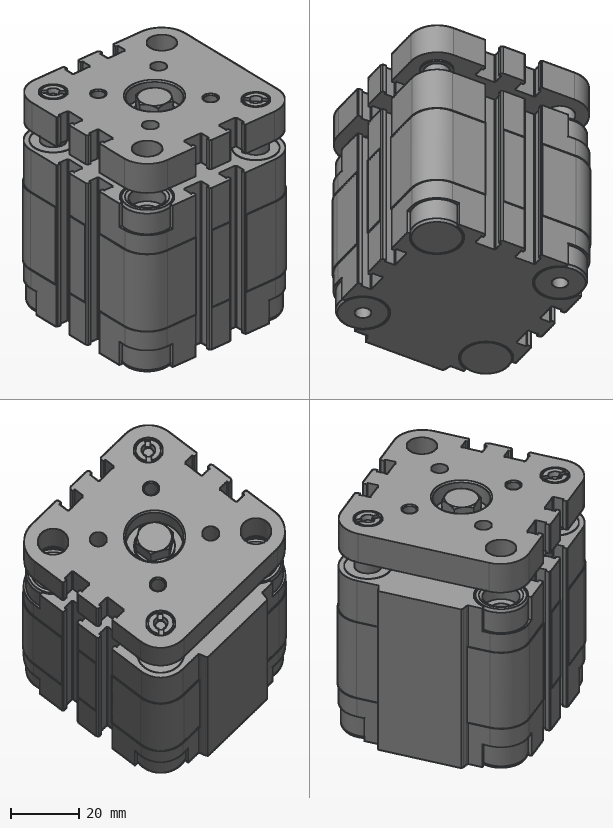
import cadquery as cq
import math

TOTAL_HEIGHT = 72.0
HOUSING_HEIGHT = 55.5
PLATE_THICKNESS = 10.0
PLATE_BOTTOM = TOTAL_HEIGHT - PLATE_THICKNESS

CAP_HALF = 59.4 / 2
BAND_HALF = 60.0 / 2
BAND_BOTTOM = 14.55
BAND_TOP = 41.1
PLATE_CORNER_RADIUS = 9.0
CORNER_OFFSET = 21.0

GROOVE_DEPTH = 5.0
LIP_DEPTH = 1.5
MOUTH_INNER = 4.2
MOUTH_OUTER = 9.4
POCKET_INNER = 3.4
POCKET_OUTER = 10.15
LIP_BEVEL_INNER = 0.65
LIP_BEVEL_OUTER = 0.3
LIP_BEVEL_DEPTH = 0.35
POCKET_BEVEL = 0.3
GROOVE_OVERRUN = 1.45

RAIL_FACE = BAND_HALF + 2.5
RAIL_SHOULDER = 31.9
RAIL_FOOT = 30.3
RAIL_BASE_HALF = 14.1
RAIL_FOOT_HALF = 13.8
RAIL_SHOULDER_HALF = 13.5
RAIL_FACE_HALF = 13.1

SCREW_DIAMETER = 16.0
SCREW_HEIGHT = 8.0
SCREW_BEVEL = 0.5
SCREW_BEVEL_HEIGHT = 0.9
NOTCH_SETBACK = 2.4
SCREW_BORE_DIAMETER = 11.0
SCREW_MOUTH_DIAMETER = 13.0
SCREW_MOUTH_DEPTH = 0.5
SCREW_BORE_DEPTH = 5.0
FUNNEL_DIAMETER = 6.5
FUNNEL_DEPTH = 3.0
THROUGH_DIAMETER = 4.9

GUIDE_DIAMETER = 8.0
BUSHING_DIAMETER = 14.0
BUSHING_RECESS = 0.15
COLLAR_DIAMETER = 10.0
COLLAR_HEIGHT = 0.65
PISTON_ROD_DIAMETER = 12.0
ROD_ENGAGEMENT = 20.0
ROD_BOTTOM = HOUSING_HEIGHT - ROD_ENGAGEMENT
WRENCH_WIDTH = 10.0
WRENCH_LENGTH = 4.6

RECESS_DIAMETER = 17.0
RECESS_BEVEL = 0.5
RECESS_DEPTH = 6.0
HEX_BELOW_TOP = 0.35
HEX_SHOULDER_HEIGHT = 1.0
HEX_TIP_DIAMETER = 10.1
HEX_BEVEL_HEIGHT = 0.7

CLEARANCE_DIAMETER = 9.0
SMALL_HOLE_OFFSET = 11.7
PIN_HOLE_DIAMETER = 5.0
THREAD_DIAMETER = 4.1
THREAD_MOUTH_DIAMETER = 4.9

ROD_END_GAP_DIAMETER = 8.6
ROD_END_DIAMETER = 7.4
ROD_END_GAP_DEPTH = 1.2
ROD_END_SLOT_WIDTH = 1.5
ROD_END_SLOT_DEPTH = 1.0
ROD_END_SOCKET_MOUTH = 4.1
ROD_END_SOCKET_DIAMETER = 3.1
ROD_END_SOCKET_DEPTH = 1.5

GUIDE_CORNERS = [(-CORNER_OFFSET, -CORNER_OFFSET), (CORNER_OFFSET, CORNER_OFFSET)]
SCREW_CORNERS = [(-CORNER_OFFSET, CORNER_OFFSET), (CORNER_OFFSET, -CORNER_OFFSET)]


def cylinder(center, diameter, bottom, top):
    return cq.Workplane("XY", origin=(*center, bottom)).circle(diameter / 2).extrude(top - bottom)


def cone(center, bottom_diameter, top_diameter, bottom, top):
    shape = cq.Solid.makeCone(bottom_diameter / 2, top_diameter / 2, top - bottom)
    return cq.Workplane(shape.translate(cq.Vector(*center, bottom)))


def rounded_block(half, radius, bottom, top):
    block = cq.Workplane("XY", origin=(0, 0, bottom)).rect(2 * half, 2 * half).extrude(top - bottom)
    return block.edges("|Z").fillet(radius)


def groove_cutters():
    """Pairs of full-height grooves for the -Y, -X and +X sides."""
    face = -CAP_HALF
    outside = face - GROOVE_OVERRUN
    lip = face + LIP_DEPTH
    floor = face + GROOVE_DEPTH
    outline = [
        (MOUTH_INNER - LIP_BEVEL_INNER, outside),
        (MOUTH_INNER - LIP_BEVEL_INNER, face),
        (MOUTH_INNER, face + LIP_BEVEL_DEPTH),
        (MOUTH_INNER, lip),
        (POCKET_INNER, lip),
        (POCKET_INNER, floor - POCKET_BEVEL),
        (POCKET_INNER + POCKET_BEVEL, floor),
        (POCKET_OUTER - POCKET_BEVEL, floor),
        (POCKET_OUTER, floor - POCKET_BEVEL),
        (POCKET_OUTER, lip),
        (MOUTH_OUTER, lip),
        (MOUTH_OUTER, face + LIP_BEVEL_DEPTH),
        (MOUTH_OUTER + LIP_BEVEL_OUTER, face),
        (MOUTH_OUTER + LIP_BEVEL_OUTER, outside),
    ]
    groove = cq.Workplane("XY").polyline(outline).close().extrude(TOTAL_HEIGHT)
    pair = groove.add(groove.mirror("YZ")).combine()
    cutters = pair
    for angle in (-90, 90):
        cutters = cutters.add(pair.rotate((0, 0, 0), (0, 0, 1), angle))
    return cutters.combine()


def rail():
    half_outline = [
        (RAIL_BASE_HALF, CAP_HALF),
        (RAIL_FOOT_HALF, RAIL_FOOT),
        (RAIL_SHOULDER_HALF, RAIL_SHOULDER),
        (RAIL_FACE_HALF, RAIL_FACE),
    ]
    outline = half_outline + [(-x, y) for x, y in reversed(half_outline)]
    base = [(-RAIL_BASE_HALF, CORNER_OFFSET), (RAIL_BASE_HALF, CORNER_OFFSET)]
    return cq.Workplane("XY").polyline(outline + base).close().extrude(HOUSING_HEIGHT)


def screw_notch():
    """Material to cut at a +X +Y bottom corner so that a bevelled round screw stays standing."""
    center = (CORNER_OFFSET, CORNER_OFFSET)
    start = CORNER_OFFSET - NOTCH_SETBACK
    size = CAP_HALF + GROOVE_OVERRUN - start
    corner = cq.Workplane("XY").box(size, size, SCREW_HEIGHT, centered=False).translate((start, start, 0))
    corner = corner.cut(cylinder(center, SCREW_DIAMETER, 0, SCREW_HEIGHT))
    end_diameter = SCREW_DIAMETER - 2 * SCREW_BEVEL
    ring = cylinder(center, SCREW_DIAMETER, 0, SCREW_BEVEL_HEIGHT)
    ring = ring.cut(cone(center, end_diameter, SCREW_DIAMETER, 0, SCREW_BEVEL_HEIGHT))
    return corner.union(ring)


def screw_hole(center):
    """Bevelled bore in the top of a corner screw, with a funnel into a through hole."""
    mouth_bottom = HOUSING_HEIGHT - SCREW_MOUTH_DEPTH
    floor = HOUSING_HEIGHT - SCREW_BORE_DEPTH
    hole = cone(center, SCREW_BORE_DIAMETER, SCREW_MOUTH_DIAMETER, mouth_bottom, HOUSING_HEIGHT)
    hole = hole.union(cylinder(center, SCREW_BORE_DIAMETER, floor, mouth_bottom))
    hole = hole.union(cone(center, THROUGH_DIAMETER, FUNNEL_DIAMETER, floor - FUNNEL_DEPTH, floor))
    return hole.union(cylinder(center, THROUGH_DIAMETER, 0, floor - FUNNEL_DEPTH))


def make_housing():
    body = rounded_block(CAP_HALF, CAP_HALF - CORNER_OFFSET, 0, HOUSING_HEIGHT)
    body = body.union(rounded_block(BAND_HALF, BAND_HALF - CORNER_OFFSET, BAND_BOTTOM, BAND_TOP))
    body = body.union(rail()).cut(groove_cutters())

    notch = screw_notch()
    for angle in (0, 90, 180, 270):
        body = body.cut(notch.rotate((0, 0, 0), (0, 0, 1), angle))
    top_notch = notch.mirror("XY").translate((0, 0, HOUSING_HEIGHT))
    for angle in (90, -90):
        body = body.cut(top_notch.rotate((0, 0, 0), (0, 0, 1), angle))

    for center in SCREW_CORNERS:
        body = body.cut(screw_hole(center))
    for center in GUIDE_CORNERS:
        body = body.cut(cylinder(center, GUIDE_DIAMETER, ROD_BOTTOM, HOUSING_HEIGHT))
        body = body.cut(cylinder(center, BUSHING_DIAMETER, HOUSING_HEIGHT - BUSHING_RECESS, HOUSING_HEIGHT))
    return body.cut(cylinder((0, 0), PISTON_ROD_DIAMETER, ROD_BOTTOM, HOUSING_HEIGHT))


def piston_rod():
    """Round rod with two wrench flats facing -Y and +Y just below the plate."""
    rod = cylinder((0, 0), PISTON_ROD_DIAMETER, ROD_BOTTOM, PLATE_BOTTOM)
    flat_zone = cylinder((0, 0), PISTON_ROD_DIAMETER, PLATE_BOTTOM - WRENCH_LENGTH, PLATE_BOTTOM)
    kept = cq.Workplane("XY").box(PISTON_ROD_DIAMETER, WRENCH_WIDTH, 2 * TOTAL_HEIGHT)
    return rod.cut(flat_zone.cut(kept))


def center_hexagon():
    """Bevelled hexagon on a round shoulder, standing on the recess floor."""
    floor = TOTAL_HEIGHT - RECESS_DEPTH
    tip = TOTAL_HEIGHT - HEX_BELOW_TOP
    across_corners = WRENCH_WIDTH / math.cos(math.pi / 6)
    hexagon = cq.Workplane("XY", origin=(0, 0, floor)).polygon(6, across_corners).extrude(tip - floor)
    hexagon = hexagon.rotate((0, 0, 0), (0, 0, 1), 30)
    bevel_bottom = tip - HEX_BEVEL_HEIGHT
    envelope = cylinder((0, 0), PISTON_ROD_DIAMETER, floor, bevel_bottom)
    envelope = envelope.union(cone((0, 0), PISTON_ROD_DIAMETER, HEX_TIP_DIAMETER, bevel_bottom, tip))
    shoulder = cylinder((0, 0), PISTON_ROD_DIAMETER, floor, floor + HEX_SHOULDER_HEIGHT)
    return hexagon.intersect(envelope).union(shoulder)


def center_recess():
    bevel_bottom = TOTAL_HEIGHT - RECESS_BEVEL
    recess = cylinder((0, 0), RECESS_DIAMETER, TOTAL_HEIGHT - RECESS_DEPTH, bevel_bottom)
    mouth = RECESS_DIAMETER + 2 * RECESS_BEVEL
    return recess.union(cone((0, 0), RECESS_DIAMETER, mouth, bevel_bottom, TOTAL_HEIGHT))


def rod_end_recess(center):
    """Ring gap around a rod end, with a diagonal driver slot and a tapered socket."""
    gap_bottom = TOTAL_HEIGHT - ROD_END_GAP_DEPTH
    gap = cylinder(center, ROD_END_GAP_DIAMETER, gap_bottom, TOTAL_HEIGHT)
    gap = gap.cut(cylinder(center, ROD_END_DIAMETER, gap_bottom, TOTAL_HEIGHT))
    slot = cq.Workplane("XY").rect(ROD_END_GAP_DIAMETER, ROD_END_SLOT_WIDTH).extrude(ROD_END_SLOT_DEPTH)
    slot = slot.rotate((0, 0, 0), (0, 0, 1), 45)
    slot = slot.translate((*center, TOTAL_HEIGHT - ROD_END_SLOT_DEPTH))
    slot = slot.intersect(cylinder(center, ROD_END_GAP_DIAMETER, gap_bottom, TOTAL_HEIGHT))
    socket_bottom = TOTAL_HEIGHT - ROD_END_SOCKET_DEPTH
    socket = cone(center, ROD_END_SOCKET_DIAMETER, ROD_END_SOCKET_MOUTH, socket_bottom, TOTAL_HEIGHT)
    return gap.union(slot).union(socket)


def threaded_hole(center):
    bevel = (THREAD_MOUTH_DIAMETER - THREAD_DIAMETER) / 2
    bevel_bottom = TOTAL_HEIGHT - bevel
    hole = cylinder(center, THREAD_DIAMETER, PLATE_BOTTOM, bevel_bottom)
    return hole.union(cone(center, THREAD_DIAMETER, THREAD_MOUTH_DIAMETER, bevel_bottom, TOTAL_HEIGHT))


def make_moving_body():
    body = rounded_block(CAP_HALF, PLATE_CORNER_RADIUS, PLATE_BOTTOM, TOTAL_HEIGHT)
    body = body.cut(groove_cutters()).cut(center_recess())
    body = body.union(center_hexagon()).union(piston_rod())
    for center in SCREW_CORNERS:
        body = body.cut(cylinder(center, CLEARANCE_DIAMETER, PLATE_BOTTOM, TOTAL_HEIGHT))
    for center in GUIDE_CORNERS:
        body = body.union(cylinder(center, GUIDE_DIAMETER, ROD_BOTTOM, PLATE_BOTTOM))
        body = body.union(cylinder(center, COLLAR_DIAMETER, PLATE_BOTTOM - COLLAR_HEIGHT, PLATE_BOTTOM))
        body = body.cut(rod_end_recess(center))
    for side in (-1, 1):
        x = side * SMALL_HOLE_OFFSET
        body = body.cut(threaded_hole((x, x)))
        body = body.cut(cylinder((x, -x), PIN_HOLE_DIAMETER, PLATE_BOTTOM, TOTAL_HEIGHT))
    return body


housing = make_housing()
moving_body = make_moving_body()
result = cq.Compound.makeCompound([housing.val(), moving_body.val()])